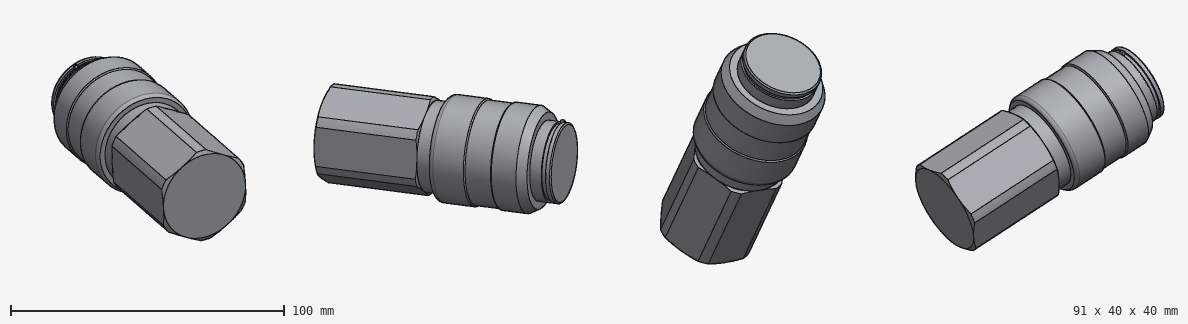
import cadquery as cq
import math


neck_radius = 30.0 / 2
neck_chamfer_length = 0.5
neck_chamfer_depth = 0.6
groove_start = 2.0
groove_width = 1.6
groove_radius = 28.4 / 2

sleeve_radius = 40.0 / 2
sleeve_start = 8.1
sleeve_end = 45.6
nose_length = 3.55
nose_angle = 30.0
band_radius = 39.0 / 2
band_start = 21.2
band_end = 32.05
rear_round_radius = 2.0
rear_round_length = 1.7

total_length = 91.05
hex_start = 51.2
hex_across_flats = 34.0
hex_corner_radius = 18.6
hex_turn = 3.0
collar_radius = hex_across_flats / 2
hex_front_face_radius = 34.4 / 2
hex_front_chamfer = 0.5
hex_rear_face_radius = collar_radius
hex_rear_chamfer = 0.7

wire_diameter = 1.55
wire_angle = 24.2
wire_span = 4.6


def revolve_about_x(profile):
    """Close an (x, radius) profile and turn it fully about the X axis."""
    return profile.close().revolve(360, (0, 0, 0), (1, 0, 0))


def make_neck():
    """Round front end with a chamfered rim and the wire groove."""
    groove_end = groove_start + groove_width
    profile = (
        cq.Workplane("XY")
        .moveTo(0, 0)
        .lineTo(0, neck_radius - neck_chamfer_depth)
        .lineTo(neck_chamfer_length, neck_radius)
        .lineTo(groove_start, neck_radius)
        .lineTo(groove_start, groove_radius)
        .lineTo(groove_end, groove_radius)
        .lineTo(groove_end, neck_radius)
        .lineTo(sleeve_start, neck_radius)
        .lineTo(sleeve_start, 0)
    )
    return revolve_about_x(profile)


def make_sleeve():
    """Largest section: conical nose, shallow band with 45 degree bevels, and rounded rear edge."""
    nose_radius = sleeve_radius - nose_length * math.tan(math.radians(nose_angle))
    band_depth = sleeve_radius - band_radius
    round_start = sleeve_end - rear_round_length

    arc_angle = math.asin(rear_round_length / rear_round_radius)
    arc_centre_radius = sleeve_radius - rear_round_radius
    arc_middle = (
        round_start + rear_round_radius * math.sin(arc_angle / 2),
        arc_centre_radius + rear_round_radius * math.cos(arc_angle / 2),
    )
    arc_end = (sleeve_end, arc_centre_radius + rear_round_radius * math.cos(arc_angle))

    profile = (
        cq.Workplane("XY")
        .moveTo(sleeve_start, 0)
        .lineTo(sleeve_start, nose_radius)
        .lineTo(sleeve_start + nose_length, sleeve_radius)
        .lineTo(band_start, sleeve_radius)
        .lineTo(band_start + band_depth, band_radius)
        .lineTo(band_end - band_depth, band_radius)
        .lineTo(band_end, sleeve_radius)
        .lineTo(round_start, sleeve_radius)
        .threePointArc(arc_middle, arc_end)
        .lineTo(sleeve_end, 0)
    )
    return revolve_about_x(profile)


def make_collar():
    """Plain cylinder between the sleeve section and the hexagon."""
    return cq.Workplane("YZ", origin=(sleeve_end, 0, 0)).circle(collar_radius).extrude(hex_start - sleeve_end)


def make_hexagon():
    """Wrench hexagon with turned corners and a chamfer at both ends."""
    corner_to_corner = hex_across_flats / math.cos(math.radians(30))
    prism = (
        cq.Workplane("YZ", origin=(hex_start, 0, 0))
        .polygon(6, corner_to_corner)
        .extrude(total_length - hex_start)
        .rotate((0, 0, 0), (1, 0, 0), 90 + hex_turn)
    )
    turned_profile = (
        cq.Workplane("XY")
        .moveTo(hex_start, 0)
        .lineTo(hex_start, hex_front_face_radius)
        .lineTo(hex_start + hex_front_chamfer, hex_corner_radius)
        .lineTo(total_length - hex_rear_chamfer, hex_corner_radius)
        .lineTo(total_length, hex_rear_face_radius)
        .lineTo(total_length, 0)
    )
    return prism.intersect(revolve_about_x(turned_profile))


def make_housing():
    """Complete coupling housing as one solid."""
    return make_neck().union(make_sleeve()).union(make_collar()).union(make_hexagon()).solids()


def make_wire_piece():
    """Short curved piece of round wire resting on the groove floor."""
    wire_x = groove_start + groove_width / 2
    wire_centre_radius = groove_radius + wire_diameter / 2
    start_angle = wire_angle - wire_span / 2
    return (
        cq.Workplane("XZ")
        .center(wire_x, wire_centre_radius)
        .circle(wire_diameter / 2)
        .revolve(wire_span, (-wire_x, -wire_centre_radius), (0.9 - wire_x, -wire_centre_radius))
        .rotate((0, 0, 0), (1, 0, 0), start_angle)
    )


housing = make_housing()
wire_piece = make_wire_piece()

result = cq.Compound.makeCompound([housing.val(), wire_piece.val()])